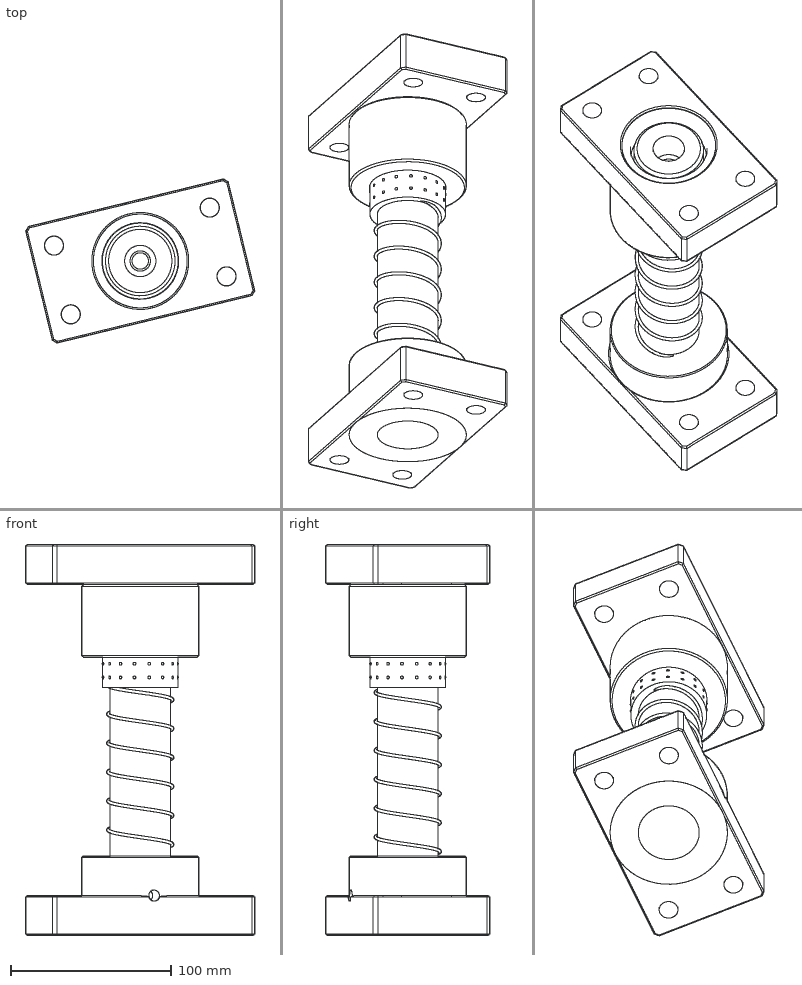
import cadquery as cq
import math

TOTAL_HEIGHT = 244.0
PLATE_ANGLE = 13.7

PLATE_LENGTH = 130.0
PLATE_WIDTH = 75.0
PLATE_THICKNESS = 25.0
PLATE_CORNER_CHAMFER = 2.5
BOLT_SPACING_LENGTH = 100.0
BOLT_SPACING_WIDTH = 44.2
BOLT_HOLE_RADIUS = 5.9
EDGE_CHAMFER = 1.0

FLANGE_RADIUS = 36.5
LOWER_BUSHING_TOP = 49.5
LOWER_FLANGE_CHAMFER = 0.7
UPPER_FLANGE_BOTTOM = 173.5
UPPER_FLANGE_TOP = TOTAL_HEIGHT - PLATE_THICKNESS
UPPER_FLANGE_CHAMFER = 1.2
SPIGOT_RADIUS = 29.3
SPIGOT_TOP = TOTAL_HEIGHT - 1.5
UPPER_BORE_RADIUS = 24.0
UPPER_BORE_FILLET = 3.0
SCREW_HOLE_RADIUS = 3.5

POST_RADIUS = 19.0
POST_TOP = TOTAL_HEIGHT - 4.1
HEAD_RADIUS = 21.7
HEAD_HEIGHT = 9.8
HEAD_CHAMFER = 2.0
COUNTERBORE_RADIUS = 9.8
COUNTERBORE_DEPTH = 19.5
DRILL_RADIUS = 5.1
DRILL_RIM_RADIUS = 6.3
DRILL_DEPTH = 19.5
DRILL_TIP_ANGLE = 118.0

CAGE_RADIUS = 23.7
CAGE_BOTTOM = 154.7
CAGE_TOP = POST_TOP - HEAD_HEIGHT
BALLS_PER_ROW = 16
BALL_RADIUS = 1.2
BALL_PROTRUSION = 0.37
BALL_CENTER_RADIUS = CAGE_RADIUS + BALL_PROTRUSION - BALL_RADIUS
BALL_ROW_PITCH = 8.5
LOWER_BALL_ROW = CAGE_BOTTOM + 6.3
BALL_ROWS = 2

SPRING_PITCH = 18.0
SPRING_WIRE_RADIUS = 1.0
SPRING_RADIUS = POST_RADIUS + SPRING_WIRE_RADIUS
SPRING_PHASE_HEIGHT = 56.8


def cylinder(radius, bottom, top):
    return cq.Workplane("XY").workplane(offset=bottom).circle(radius).extrude(top - bottom)


def rotated(body):
    return body.rotate((0, 0, 0), (0, 0, 1), PLATE_ANGLE)


def make_plate(bottom, bore_radius):
    """Chamfered plate with four bolt holes and a bore chamfered at its upper rim."""
    top = bottom + PLATE_THICKNESS
    plate = (
        cq.Workplane("XY")
        .workplane(offset=bottom)
        .rect(PLATE_LENGTH, PLATE_WIDTH)
        .extrude(PLATE_THICKNESS)
        .edges("|Z")
        .chamfer(PLATE_CORNER_CHAMFER)
        .faces("<Z or >Z")
        .edges()
        .chamfer(EDGE_CHAMFER)
    )
    bolt_holes = (
        cq.Workplane("XY")
        .workplane(offset=bottom)
        .rect(BOLT_SPACING_LENGTH, BOLT_SPACING_WIDTH, forConstruction=True)
        .vertices()
        .circle(BOLT_HOLE_RADIUS)
        .extrude(PLATE_THICKNESS)
    )
    bore = (
        cq.Workplane("XZ")
        .moveTo(0, bottom)
        .lineTo(bore_radius, bottom)
        .lineTo(bore_radius, top - EDGE_CHAMFER)
        .lineTo(bore_radius + EDGE_CHAMFER, top)
        .lineTo(0, top)
        .close()
        .revolve()
    )
    return rotated(plate.cut(bolt_holes).cut(bore))


def make_screw_hole():
    """Radial cutter from outside the lower plate's long side in to the post surface."""
    hole = (
        cq.Workplane("XZ")
        .center(0, PLATE_THICKNESS)
        .circle(SCREW_HOLE_RADIUS)
        .extrude(PLATE_WIDTH / 2)
    )
    return rotated(hole).cut(cylinder(POST_RADIUS, 0, LOWER_BUSHING_TOP))


def make_lower_bushing():
    body = cylinder(FLANGE_RADIUS, 0, LOWER_BUSHING_TOP).faces(">Z").edges().chamfer(LOWER_FLANGE_CHAMFER)
    return body.cut(cylinder(POST_RADIUS, 0, LOWER_BUSHING_TOP))


def make_upper_bushing():
    flange = (
        cylinder(FLANGE_RADIUS, UPPER_FLANGE_BOTTOM, UPPER_FLANGE_TOP)
        .faces("<Z or >Z")
        .edges()
        .chamfer(UPPER_FLANGE_CHAMFER)
    )
    body = flange.union(cylinder(SPIGOT_RADIUS, UPPER_FLANGE_TOP, SPIGOT_TOP))
    body = body.cut(cylinder(UPPER_BORE_RADIUS, UPPER_FLANGE_BOTTOM, SPIGOT_TOP))
    bore_rim = body.faces(">Z").edges(cq.selectors.RadiusNthSelector(0))
    return bore_rim.fillet(UPPER_BORE_FILLET)


def make_post():
    """Plain shaft with a wider chamfered head and a counterbored blind hole in its top."""
    shaft = cylinder(POST_RADIUS, 0, CAGE_TOP)
    head = cylinder(HEAD_RADIUS, CAGE_TOP, POST_TOP).faces(">Z").edges().chamfer(HEAD_CHAMFER)

    counterbore_floor = POST_TOP - COUNTERBORE_DEPTH
    rim_depth = DRILL_RIM_RADIUS - DRILL_RADIUS
    drill_bottom = counterbore_floor - DRILL_DEPTH
    tip_depth = DRILL_RADIUS / math.tan(math.radians(DRILL_TIP_ANGLE / 2))
    hole = (
        cq.Workplane("XZ")
        .moveTo(0, POST_TOP)
        .lineTo(COUNTERBORE_RADIUS, POST_TOP)
        .lineTo(COUNTERBORE_RADIUS, counterbore_floor)
        .lineTo(DRILL_RIM_RADIUS, counterbore_floor)
        .lineTo(DRILL_RADIUS, counterbore_floor - rim_depth)
        .lineTo(DRILL_RADIUS, drill_bottom)
        .lineTo(0, drill_bottom - tip_depth)
        .close()
        .revolve()
    )
    return shaft.union(head).cut(hole)


def make_ball_cage():
    """Sleeve on the post with rows of balls standing out below the upper bushing."""
    cage = cylinder(CAGE_RADIUS, CAGE_BOTTOM, CAGE_TOP)
    for row in range(BALL_ROWS):
        balls = (
            cq.Workplane("XY")
            .workplane(offset=LOWER_BALL_ROW + row * BALL_ROW_PITCH)
            .polarArray(BALL_CENTER_RADIUS, 0, 360, BALLS_PER_ROW)
            .sphere(BALL_RADIUS, combine=False)
        )
        cage = cage.union(balls)
    return rotated(cage.cut(cylinder(POST_RADIUS, CAGE_BOTTOM, CAGE_TOP)))


def make_spring():
    """Left-handed coil with both ends ground flat between the lower bushing and the cage."""
    start = SPRING_PHASE_HEIGHT - SPRING_PITCH
    height = CAGE_BOTTOM + SPRING_PITCH / 2 - start
    path = cq.Wire.makeHelix(SPRING_PITCH, height, SPRING_RADIUS, cq.Vector(0, 0, start), lefthand=True)
    coil = (
        cq.Workplane("XZ")
        .center(SPRING_RADIUS, start)
        .circle(SPRING_WIRE_RADIUS)
        .sweep(cq.Workplane(obj=path), isFrenet=True)
    )
    return coil.intersect(cylinder(FLANGE_RADIUS, LOWER_BUSHING_TOP, CAGE_BOTTOM))


screw_hole = make_screw_hole()
lower_plate = make_plate(0, FLANGE_RADIUS).cut(screw_hole)
upper_plate = make_plate(UPPER_FLANGE_TOP, SPIGOT_RADIUS)
lower_bushing = make_lower_bushing().cut(screw_hole)
upper_bushing = make_upper_bushing()
post = make_post()
ball_cage = make_ball_cage()
spring = make_spring()

bodies = (lower_plate, upper_plate, lower_bushing, upper_bushing, post, ball_cage, spring)
result = cq.Compound.makeCompound([body.solids().val() for body in bodies])